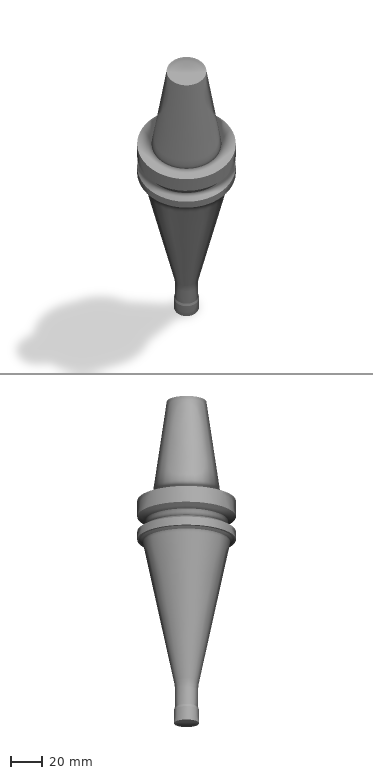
import cadquery as cq
import math

gauge_diameter = 44.45
taper_length = 65.4
taper_ratio = 7 / 24
gauge_radius = gauge_diameter / 2
taper_end_radius = (gauge_diameter - taper_length * taper_ratio) / 2

flange_radius = 63 / 2
flange_top = -1.0
flange_bottom = -27.0
groove_root_radius = 53 / 2
groove_center = -16.6
groove_width = 10.0
groove_flank_angle = math.radians(30)
groove_flank_height = (flange_radius - groove_root_radius) * math.tan(groove_flank_angle)
groove_top = groove_center + groove_width / 2
groove_bottom = groove_center - groove_width / 2

neck_radius = 14.8 / 2
neck_top = -127.7
neck_blend_radius = 25.0
cone_half_angle = math.radians(12)
cone_bottom = neck_top + neck_blend_radius * math.sin(cone_half_angle)
cone_bottom_radius = neck_radius + neck_blend_radius * (1 - math.cos(cone_half_angle))
flare_height = 1.4
flare_angle = math.radians(53)
cone_top = flange_bottom - flare_height
cone_top_radius = cone_bottom_radius + (cone_top - cone_bottom) * math.tan(cone_half_angle)
flare_radius = cone_top_radius + flare_height * math.tan(flare_angle)
neck_blend_middle = (
    neck_radius + neck_blend_radius * (1 - math.cos(cone_half_angle / 2)),
    neck_top + neck_blend_radius * math.sin(cone_half_angle / 2),
)

nose_radius = 16 / 2
nose_end = -150.0
nose_top = -141.0
shoulder_angle = math.radians(20)
neck_bottom = nose_top + (nose_radius - neck_radius) / math.tan(shoulder_angle)

profile = (
    cq.Workplane("XZ")
    .moveTo(0, taper_length)
    .lineTo(taper_end_radius, taper_length)
    .lineTo(gauge_radius, 0)
    .lineTo(gauge_radius, flange_top)
    .lineTo(flange_radius, flange_top)
    .lineTo(flange_radius, groove_top)
    .lineTo(groove_root_radius, groove_top - groove_flank_height)
    .lineTo(groove_root_radius, groove_bottom + groove_flank_height)
    .lineTo(flange_radius, groove_bottom)
    .lineTo(flange_radius, flange_bottom)
    .lineTo(flare_radius, flange_bottom)
    .lineTo(cone_top_radius, cone_top)
    .lineTo(cone_bottom_radius, cone_bottom)
    .threePointArc(neck_blend_middle, (neck_radius, neck_top))
    .lineTo(neck_radius, neck_bottom)
    .lineTo(nose_radius, nose_top)
    .lineTo(nose_radius, nose_end)
    .lineTo(0, nose_end)
    .close()
)

result = profile.revolve(360, (0, 0, 0), (0, 1, 0))